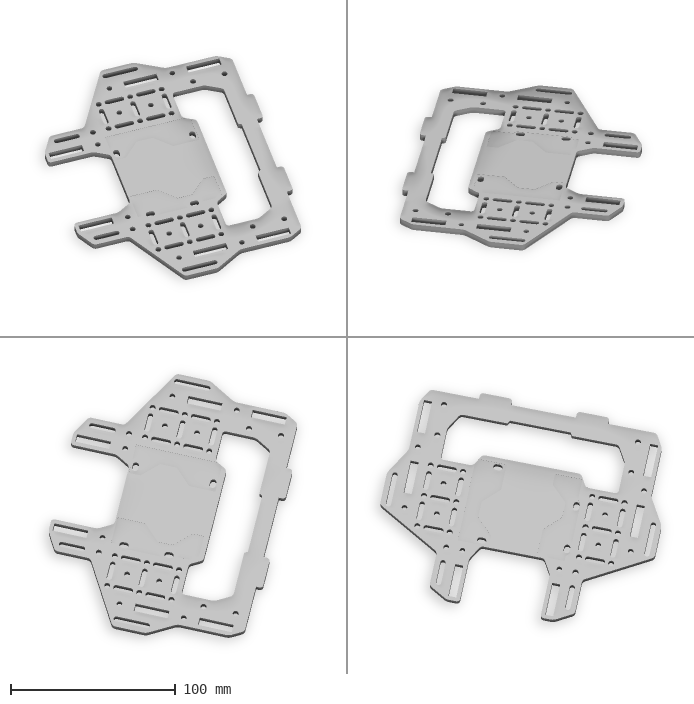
import cadquery as cq
import math

overall_width = 170.0
overall_depth = 135.0
thickness = 4.0
pitch = overall_width / 17

tab_top = 72.0
tab_height = 4.0
rail_width = 12.0
window_step = 2.0
frame_top = tab_top - tab_height
window_corner_top = frame_top - rail_width
window_top = window_corner_top + window_step
deck_top = 33.0
window_bottom = 2.5 * pitch
deck_bottom = -2.5 * pitch
foot_bottom = tab_top - overall_depth

wing_half = overall_width / 2
frame_half = 7.5 * pitch
frame_top_half = 7 * pitch
window_half = 5.5 * pitch
window_top_half = 49.0
tab_outer = 4 * pitch
tab_inner = 2 * pitch
leg_outer = 4.5 * pitch
leg_inner = 2.5 * pitch
foot_half = 33.2
deck_top_half = 30.5
deck_bottom_half = 19.5

steep = math.tan(math.radians(60))
shallow = math.tan(math.radians(30))
wing_top = pitch
wing_bottom = -10.9

sharp = 0
small_radius = 2.0
large_radius = 3.0
gentle_radius = 6.5

large_hole = 3.5
small_hole = 3.4
slot_width = 3.2
grid_slot_length = 12.2
wing_slot_length = 22.5
leg_slot_length = 16.3
leg_slot_y = -46.5
strap_width = 5.0
strap_length = 21.0
board_slot_width = 3.7
board_slot_length = 5.6

recess_depth = 0.2
board_half = 34.0
board_top = 29.8
board_bottom = -24.1
recess_inner = 1.5 * pitch
recess_waist = 2.5 * pitch
board_edge_inset = 2.0


def mirrored(right_half):
    """Close a top-to-bottom right-half outline with its mirror image across the Y axis."""
    left_half = [(-x, y, radius) for x, y, radius in reversed(right_half)]
    return right_half + left_half


def rounded_polygon(corners):
    """Closed wire through (x, y, radius) corners, each rounded by a tangent arc."""
    stretches = []
    for i, (x, y, radius) in enumerate(corners):
        corner = cq.Vector(x, y)
        before = (cq.Vector(*corners[i - 1][:2]) - corner).normalized()
        after = (cq.Vector(*corners[(i + 1) % len(corners)][:2]) - corner).normalized()
        if radius == sharp:
            stretches.append([corner])
            continue
        half_angle = before.getAngle(after) / 2
        tangent = radius / math.tan(half_angle)
        sagitta = radius / math.sin(half_angle) - radius
        middle = corner + (before + after).normalized() * sagitta
        stretches.append([corner + before * tangent, middle, corner + after * tangent])

    wire = cq.Workplane("XY").moveTo(*stretches[0][-1].toTuple()[:2])
    for stretch in stretches[1:] + stretches[:1]:
        wire = wire.lineTo(*stretch[0].toTuple()[:2])
        if len(stretch) > 1:
            wire = wire.threePointArc(*[point.toTuple()[:2] for point in stretch[1:]])
    return wire.close()


def both_sides(points):
    """The given points and their mirror images across the Y axis."""
    return points + [(-x, y) for x, y in points]


def holes(points, diameter):
    return cq.Workplane("XY").pushPoints(both_sides(points)).circle(diameter / 2).extrude(thickness)


def slots(points, length, width, angle):
    return cq.Workplane("XY").pushPoints(points).slot2D(length, width, angle).extrude(thickness)


def plate():
    frame_shoulder = frame_top - (frame_half - frame_top_half) * steep
    frame_foot = wing_top + (wing_half - frame_half) * steep
    leg_top = wing_bottom - (wing_half - leg_outer) * shallow
    foot_shoulder = foot_bottom + (leg_outer - foot_half) * shallow
    leg_root = deck_bottom - (leg_inner - deck_bottom_half) * steep
    outline = [
        (tab_inner, frame_top, sharp),
        (tab_inner, tab_top, small_radius),
        (tab_outer, tab_top, small_radius),
        (tab_outer, frame_top, sharp),
        (frame_top_half, frame_top, large_radius),
        (frame_half, frame_shoulder, gentle_radius),
        (frame_half, frame_foot, gentle_radius),
        (wing_half, wing_top, gentle_radius),
        (wing_half, wing_bottom, large_radius),
        (leg_outer, leg_top, large_radius),
        (leg_outer, foot_shoulder, large_radius),
        (foot_half, foot_bottom, gentle_radius),
        (leg_inner, foot_bottom, small_radius),
        (leg_inner, leg_root, gentle_radius),
        (deck_bottom_half, deck_bottom, large_radius),
    ]
    return rounded_polygon(mirrored(outline)).extrude(thickness)


def window():
    step_end = tab_inner - window_step / steep
    shoulder = window_corner_top - (window_half - window_top_half) * steep
    deck_root_half = deck_top_half + (deck_top - window_bottom) / steep
    outline = [
        (step_end, window_top, sharp),
        (tab_inner, window_corner_top, sharp),
        (window_top_half, window_corner_top, large_radius),
        (window_half, shoulder, gentle_radius),
        (window_half, window_bottom, small_radius),
        (deck_root_half, window_bottom, large_radius),
        (deck_top_half, deck_top, large_radius),
    ]
    return rounded_polygon(mirrored(outline)).extrude(thickness)


def hole_pattern():
    grid = [(column * pitch, row * pitch) for column in (4, 6) for row in (-2, 0, 2)]
    frame = [(6 * pitch, row * pitch) for row in (4, 6)]
    leg = [(4 * pitch, -3 * pitch)]
    wing = [(7 * pitch, 3 * pitch), (7 * pitch, -pitch), (5 * pitch, pitch), (5 * pitch, -pitch)]
    leg_inside = [(3 * pitch, -3 * pitch)]
    return holes(grid + frame + leg, large_hole).union(holes(wing + leg_inside, small_hole))


def slot_pattern():
    upright = [(column * pitch, row * pitch) for column in (4, 6) for row in (-1, 1)]
    level = [(5 * pitch, row * pitch) for row in (-2, 0, 2)]
    wing = [(8 * pitch, 0)]
    leg = [(4 * pitch, leg_slot_y)]
    pattern = slots(both_sides(upright), grid_slot_length, slot_width, 90)
    pattern = pattern.union(slots(both_sides(level), grid_slot_length, slot_width, 0))
    pattern = pattern.union(slots(both_sides(wing), wing_slot_length, slot_width, 90))
    return pattern.union(slots(both_sides(leg), leg_slot_length, slot_width, 90))


def strap_slots():
    centres = both_sides([(7 * pitch, 5 * pitch), (7 * pitch, pitch), (3 * pitch, -5 * pitch)])
    return cq.Workplane("XY").pushPoints(centres).rect(strap_width, strap_length).extrude(thickness)


def board_slots():
    left_x = -19.9
    left_levels = (27.0, -21.2)
    right_x = 31.8
    right_levels = (11.9, -16.2)
    left = [(left_x, y) for y in left_levels]
    right = [(right_x, y) for y in right_levels]
    flat = slots(left, board_slot_length, board_slot_width, 0)
    return flat.union(slots(right, board_slot_length, board_slot_width, 90))


def recess(corners):
    floor = cq.Workplane("XY", origin=(0, 0, thickness - recess_depth))
    return floor.polyline(corners).close().extrude(recess_depth)


def board_recesses():
    slant = recess_waist - recess_inner
    left_waist_top = 3.2
    left_waist_bottom = -7.0
    right_waist_top = 12.8
    right_waist_bottom = 3.2
    edge_top = 14.3
    edge_bottom = -18.9
    board_edge = board_half - board_edge_inset
    left = recess([
        (-board_half, board_top),
        (-recess_inner, board_top),
        (-recess_inner, left_waist_top + slant),
        (-recess_waist, left_waist_top),
        (-recess_waist, left_waist_bottom),
        (-recess_inner, left_waist_bottom - slant),
        (-recess_inner, board_bottom),
        (-board_half, board_bottom),
    ])
    right = recess([
        (recess_inner, board_top),
        (board_edge, board_top),
        (board_edge, edge_top + board_edge_inset),
        (board_half, edge_top),
        (board_half, edge_bottom),
        (board_edge, edge_bottom - board_edge_inset),
        (board_edge, board_bottom),
        (recess_inner, board_bottom),
        (recess_inner, right_waist_bottom - slant),
        (recess_waist, right_waist_bottom),
        (recess_waist, right_waist_top),
        (recess_inner, right_waist_top + slant),
    ])
    return left.union(right)


result = plate().cut(window())
for cutter in (hole_pattern(), slot_pattern(), strap_slots(), board_slots(), board_recesses()):
    result = result.cut(cutter)